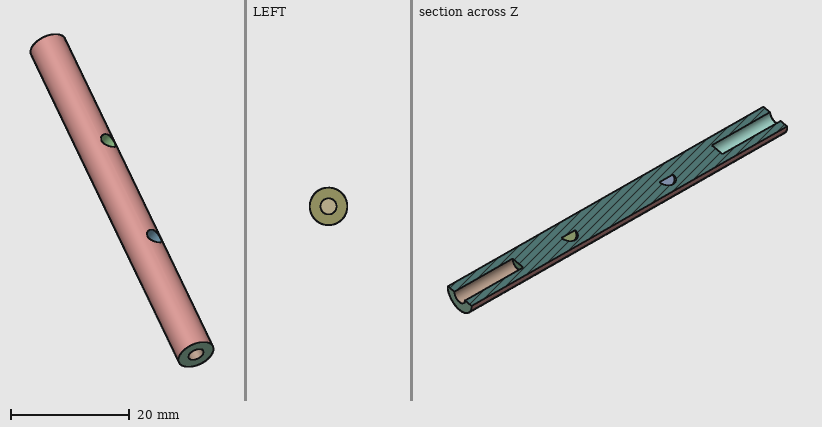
import cadquery as cq

rod_length = 68.98
rod_diameter = 6.35
rod_radius = rod_diameter / 2

end_bore_diameter = 2.71
end_bore_depth = 12.7

radial_hole_diameter = 2.85
radial_hole_spacing = 21.4
radial_hole_lean = 35.0
radial_hole_depth = rod_radius


def make_rod():
    return cq.Workplane("YZ").circle(rod_radius).extrude(rod_length)


def end_bore(start_x):
    """Cutter for one axial bore, beginning at start_x and running toward +X."""
    return (
        cq.Workplane("YZ", origin=(start_x, 0, 0))
        .circle(end_bore_diameter / 2)
        .extrude(end_bore_depth)
    )


def radial_hole(center_x):
    """Cutter for one leaning hole, from its floor out past the rod surface."""
    floor_height = rod_radius - radial_hole_depth
    return (
        cq.Workplane("XY", origin=(center_x, 0, floor_height))
        .circle(radial_hole_diameter / 2)
        .extrude(rod_diameter)
        .rotate((0, 0, 0), (1, 0, 0), -radial_hole_lean)
    )


result = make_rod()

for bore_start in (0, rod_length - end_bore_depth):
    result = result.cut(end_bore(bore_start))

for side in (-1, 1):
    hole_x = rod_length / 2 + side * radial_hole_spacing / 2
    result = result.cut(radial_hole(hole_x))